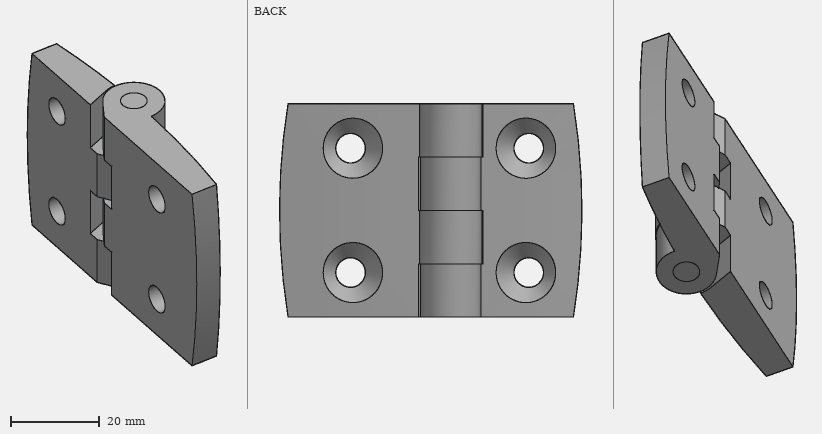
import cadquery as cq
import math

width = 68.0
height = 48.0
half_width = width / 2
half_height = height / 2
end_corner_x = 32.1
back_edge_depth = 6.4

axis_x = -4.5
axis_y = 9.0
pin_diameter = 6.0
right_knuckle_radius = 7.0
left_knuckle_radius = 6.8
clearance_radius = 7.3
knuckle_count = 4
knuckle_height = height / knuckle_count
knuckle_toe = 1.4
recess_mouth = 4.2

hole_diameter = 6.6
countersink_diameter = 13.45
countersink_angle = 90.0
left_hole_x = -22.0
right_hole_x = 18.0
hole_spacing_z = 27.95

sagitta = axis_y - back_edge_depth
crown_radius = (half_width**2 + sagitta**2) / (2 * sagitta)


def crown_depth(x):
    """Leaf thickness at a given distance from the middle of the hinge."""
    return axis_y - crown_radius + math.sqrt(crown_radius**2 - x**2)



def tangent_angle(radius, front_offset, turn):
    """Angle on a pin-centered circle where a line from the front face touches it.

    turn = -1 picks the contact on the pin's inner side, +1 the outward side.
    """
    distance = math.hypot(front_offset, axis_y)
    return math.atan2(-axis_y, front_offset) + turn * math.acos(radius / distance)


def crown_angle(radius, side):
    """Angle on a pin-centered circle where it crosses the crown, on the outward side."""
    to_center = math.hypot(axis_x, crown_radius)
    cosine = (radius**2 + to_center**2 - crown_radius**2) / (2 * radius * to_center)
    return math.atan2(-crown_radius, -side * axis_x) + math.acos(cosine)


def leaf_segment(side, radius, front_offset, base_z, is_knuckle):
    """One knuckle-high length of leaf, ending at the pin in a knuckle or a recess."""
    def on_circle(angle):
        return axis_x + side * radius * math.cos(angle), axis_y + radius * math.sin(angle)

    crown_meet = crown_angle(radius, side)
    if is_knuckle:
        contact = tangent_angle(radius, front_offset, -1)
        arc_middle = (contact + crown_meet) / 2 - math.pi
    else:
        contact = tangent_angle(radius, front_offset, 1)
        arc_middle = (contact + crown_meet) / 2
    crown_middle_x = (on_circle(crown_meet)[0] + side * half_width) / 2
    return (
        cq.Workplane("XY", origin=(0, 0, base_z))
        .moveTo(side * half_width, 0)
        .lineTo(axis_x + side * front_offset, 0)
        .lineTo(*on_circle(contact))
        .threePointArc(on_circle(arc_middle), on_circle(crown_meet))
        .threePointArc(
            (crown_middle_x, crown_depth(crown_middle_x)), (side * half_width, back_edge_depth)
        )
        .close()
        .extrude(knuckle_height)
    )


def bowed_outline():
    """Tall block with the bowed ends shared by both leaves."""
    return (
        cq.Workplane("XZ")
        .moveTo(-end_corner_x, -half_height)
        .lineTo(end_corner_x, -half_height)
        .threePointArc((half_width, 0), (end_corner_x, half_height))
        .lineTo(-end_corner_x, half_height)
        .threePointArc((-half_width, 0), (-end_corner_x, -half_height))
        .close()
        .extrude(axis_y + right_knuckle_radius, both=True)
    )


def pin_cylinder():
    return (
        cq.Workplane("XY", origin=(axis_x, axis_y, -half_height))
        .circle(pin_diameter / 2)
        .extrude(height)
    )


def drill_screw_holes(leaf, hole_x):
    """Through holes, countersunk from the crowned back."""
    slope = math.tan(math.radians(countersink_angle / 2))
    mouth_radius = countersink_diameter / 2
    apex_y = crown_depth(hole_x) - mouth_radius / slope
    cone_length = 2 * mouth_radius / slope
    for hole_z in (-hole_spacing_z / 2, hole_spacing_z / 2):
        bore = (
            cq.Workplane("XZ", origin=(hole_x, 0, hole_z))
            .circle(hole_diameter / 2)
            .extrude(-axis_y)
        )
        cone = cq.Solid.makeCone(
            0, cone_length * slope, cone_length,
            pnt=cq.Vector(hole_x, apex_y, hole_z), dir=cq.Vector(0, 1, 0),
        )
        leaf = leaf.cut(bore).cut(cq.Workplane(cone))
    return leaf


def make_leaf(side, knuckle_radius, first_knuckle, hole_x):
    """Leaf whose knuckles alternate with recesses for the other leaf's knuckles."""
    leaf = cq.Workplane("XY")
    for index in range(knuckle_count):
        base_z = -half_height + index * knuckle_height
        if index % 2 == first_knuckle:
            segment = leaf_segment(side, knuckle_radius, knuckle_toe, base_z, True)
        else:
            segment = leaf_segment(side, clearance_radius, recess_mouth, base_z, False)
        leaf = leaf.union(segment)
    leaf = leaf.intersect(bowed_outline()).cut(pin_cylinder())
    return drill_screw_holes(leaf, hole_x)


left_leaf = make_leaf(-1, left_knuckle_radius, 0, left_hole_x)
right_leaf = make_leaf(1, right_knuckle_radius, 1, right_hole_x)
pin = pin_cylinder()

result = cq.Compound.makeCompound([left_leaf.val(), right_leaf.val(), pin.val()])